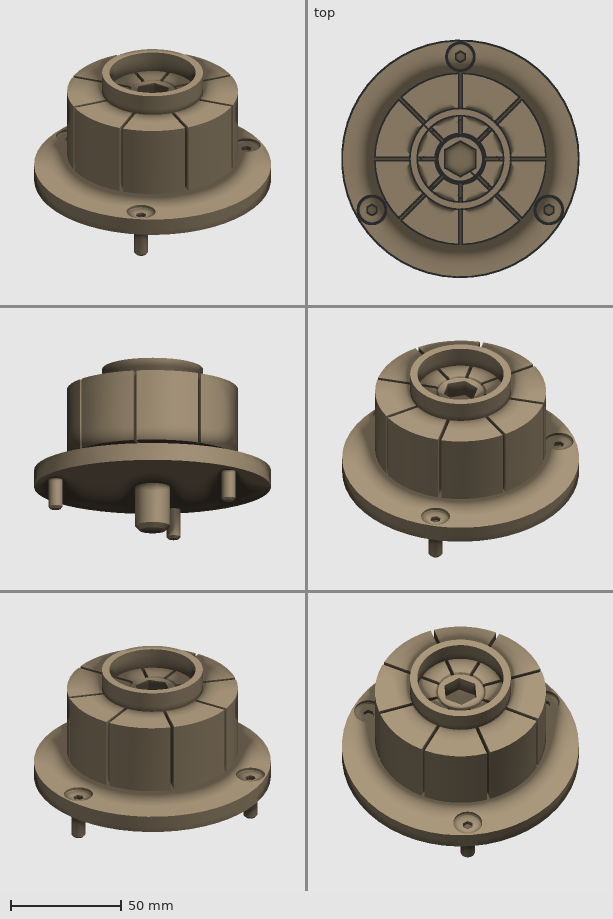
import cadquery as cq
import math


flange_radius = 53.7
flange_thickness = 7.8
jaw_radius = 38.8
jaw_height = 32.4
neck_height = 5.2
neck_radius = 16.5
slot_count = 8
slot_width = 1.6
slot_floor_height = 0.4
bore_chamfer = 0.6

ring_outer_radius = 22.9
ring_inner_radius = 19.6
ring_height = 12.7
ring_seat_depth = 3.2

draw_shank_radius = 8.0
draw_head_radius = 10.9
draw_head_chamfer = 0.6
draw_taper_depth = 15.8
draw_tip_z = -20.2
draw_tip_chamfer_width = 1.9
draw_tip_chamfer_height = 2.0
draw_hex_flats = 14.0
draw_hex_depth = 8.0

mount_count = 3
mount_circle_radius = 46.3
mount_shank_radius = 3.2
mount_head_radius = 6.0
mount_head_recess = 1.7
mount_tip_z = -13.7
mount_tip_chamfer_width = 1.0
mount_tip_chamfer_height = 1.1
mount_hex_flats = 4.3
mount_hex_depth = 2.0
mount_pocket_radius = 6.6

flange_top = flange_thickness
jaw_bottom = flange_top + neck_height
jaw_top = jaw_bottom + jaw_height
groove_radius = neck_height / 2
groove_center_radius = neck_radius + groove_radius
ring_bottom = jaw_top - ring_seat_depth
taper_bottom = jaw_top - draw_taper_depth
draw_taper_top = jaw_top - draw_head_chamfer
mount_head_top = flange_top - mount_head_recess
mount_cone_bottom = mount_head_top - (mount_head_radius - mount_shank_radius)

mount_points = [
    (
        mount_circle_radius * math.cos(math.radians(90 + i * 360 / mount_count)),
        mount_circle_radius * math.sin(math.radians(90 + i * 360 / mount_count)),
    )
    for i in range(mount_count)
]


def revolve(profile):
    """Turn a closed (radius, z) profile once around the Z axis."""
    return profile.close().revolve(360, (0, 0, 0), (0, 1, 0))


def hex_socket(flats, depth, top):
    """Hexagonal socket with corners on +Y and -Y, sunk from the level `top`."""
    corner_diameter = flats / math.cos(math.pi / 6)
    socket = cq.Workplane("XY").workplane(offset=top).polygon(6, corner_diameter).extrude(-depth)
    return socket.rotate((0, 0, 0), (0, 0, 1), 90)


def tapered_bore():
    """Centre bore of the jaws: chamfered mouth, taper, then a straight hole."""
    return revolve(
        cq.Workplane("XZ")
        .moveTo(0, 0)
        .lineTo(draw_shank_radius, 0)
        .lineTo(draw_shank_radius, taper_bottom)
        .lineTo(draw_head_radius, draw_taper_top)
        .lineTo(draw_head_radius + bore_chamfer, jaw_top)
        .lineTo(0, jaw_top)
    )


def expansion_slots():
    """Radial slots that part the jaws, down to just above the flange."""
    slot_floor = flange_top + slot_floor_height
    slots = cq.Workplane("XY")
    for i in range(slot_count):
        slot = (
            cq.Workplane("XY")
            .workplane(offset=slot_floor)
            .center(jaw_radius / 2, 0)
            .rect(jaw_radius + slot_width, slot_width)
            .extrude(jaw_top - slot_floor)
            .rotate((0, 0, 0), (0, 0, 1), i * 360 / slot_count)
        )
        slots = slots.add(slot)
    return slots


def mount_hole():
    """Recessed countersunk hole for one mounting screw, on the Z axis."""
    return revolve(
        cq.Workplane("XZ")
        .moveTo(0, 0)
        .lineTo(mount_shank_radius, 0)
        .lineTo(mount_shank_radius, mount_cone_bottom)
        .lineTo(mount_pocket_radius, mount_cone_bottom + mount_pocket_radius - mount_shank_radius)
        .lineTo(mount_pocket_radius, flange_top)
        .lineTo(0, flange_top)
    )


def make_flange():
    """Round plate with the countersunk mounting holes."""
    flange = cq.Workplane("XY").circle(flange_radius).extrude(flange_thickness)
    for x, y in mount_points:
        flange = flange.cut(mount_hole().translate((x, y, 0)))
    return flange


def make_jaws():
    """Slotted jaw block on a neck with a half-round groove, open at the bore and ring seat."""
    quarter = groove_radius * math.sin(math.pi / 4)
    groove_middle = flange_top + groove_radius
    jaws = revolve(
        cq.Workplane("XZ")
        .moveTo(0, flange_top)
        .lineTo(groove_center_radius, flange_top)
        .threePointArc((groove_center_radius - quarter, groove_middle - quarter), (neck_radius, groove_middle))
        .threePointArc((groove_center_radius - quarter, groove_middle + quarter), (groove_center_radius, jaw_bottom))
        .lineTo(jaw_radius, jaw_bottom)
        .lineTo(jaw_radius, jaw_top)
        .lineTo(0, jaw_top)
    )
    jaws = jaws.cut(tapered_bore()).cut(make_lock_ring())
    for slot in expansion_slots().vals():
        jaws = jaws.cut(cq.Workplane(slot))
    return jaws


def make_collet():
    """Flange and slotted jaws in one piece, bored through."""
    return make_flange().cut(tapered_bore()).union(make_jaws())


def make_lock_ring():
    """Plain ring that sits in the groove in the jaw tops."""
    return (
        cq.Workplane("XY")
        .workplane(offset=ring_bottom)
        .circle(ring_outer_radius)
        .circle(ring_inner_radius)
        .extrude(ring_height)
    )


def make_draw_screw():
    """Centre screw with a tapered head and a hexagonal socket."""
    screw = revolve(
        cq.Workplane("XZ")
        .moveTo(0, draw_tip_z)
        .lineTo(draw_shank_radius - draw_tip_chamfer_width, draw_tip_z)
        .lineTo(draw_shank_radius, draw_tip_z + draw_tip_chamfer_height)
        .lineTo(draw_shank_radius, taper_bottom)
        .lineTo(draw_head_radius, draw_taper_top)
        .lineTo(draw_head_radius - draw_head_chamfer, jaw_top)
        .lineTo(0, jaw_top)
    )
    return screw.cut(hex_socket(draw_hex_flats, draw_hex_depth, jaw_top))


def make_mount_screw():
    """Countersunk mounting screw with a hexagonal socket, on the Z axis."""
    screw = revolve(
        cq.Workplane("XZ")
        .moveTo(0, mount_tip_z)
        .lineTo(mount_shank_radius - mount_tip_chamfer_width, mount_tip_z)
        .lineTo(mount_shank_radius, mount_tip_z + mount_tip_chamfer_height)
        .lineTo(mount_shank_radius, mount_cone_bottom)
        .lineTo(mount_head_radius, mount_head_top)
        .lineTo(0, mount_head_top)
    )
    return screw.cut(hex_socket(mount_hex_flats, mount_hex_depth, mount_head_top))


collet = make_collet()
lock_ring = make_lock_ring()
draw_screw = make_draw_screw()
mount_screws = [make_mount_screw().translate((x, y, 0)) for x, y in mount_points]

result = cq.Compound.makeCompound(
    [
        collet.val(),
        lock_ring.val(),
        draw_screw.val(),
        *[screw.val() for screw in mount_screws],
    ]
)